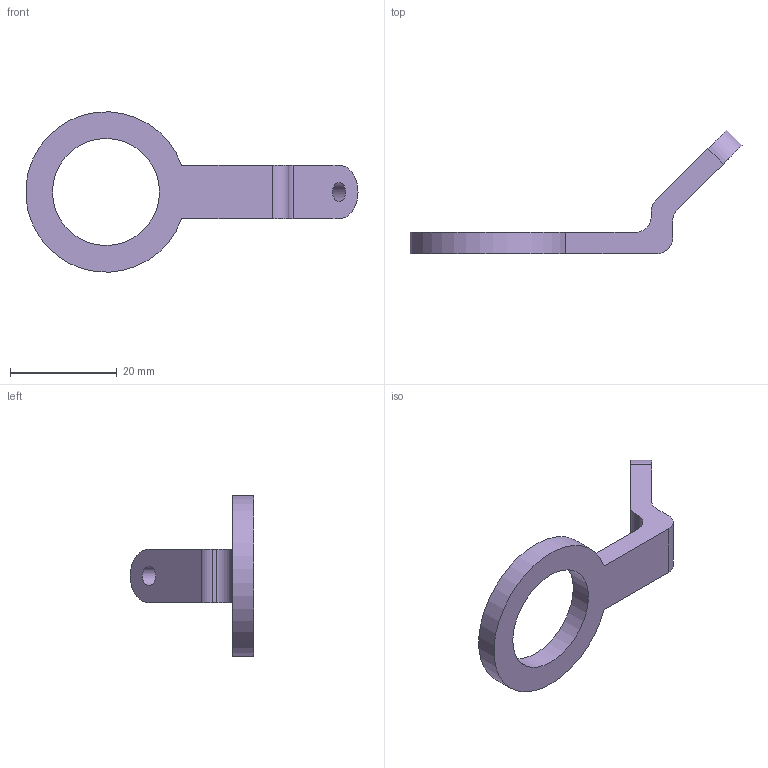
import math

import cadquery as cq

thickness = 4.0
ring_outer_radius = 15.0
ring_inner_radius = 10.0
arm_width = 10.0
straight_length = 20.0
step_height = 5.0
tip_length = 20.0
tip_angle = math.radians(45)
bend_radius = 3.0
hole_diameter = 3.5

half_width = arm_width / 2
arm_start = math.sqrt(ring_outer_radius**2 - half_width**2)
step_front_x = arm_start + straight_length
step_back_x = step_front_x - thickness
back_corner_y = thickness + step_height
front_corner_y = back_corner_y - thickness * math.tan(tip_angle / 2)

along_x = math.cos(tip_angle)
along_y = math.sin(tip_angle)
tip_back = (step_back_x + tip_length * along_x, back_corner_y + tip_length * along_y)
tip_front = (tip_back[0] + thickness * along_y, tip_back[1] - thickness * along_x)


def make_ring():
    """Full ring disc, before boring."""
    return cq.Workplane("XZ").circle(ring_outer_radius).extrude(-thickness)


def cut_bore(body):
    """Open the ring through its thickness."""
    bore = cq.Workplane("XZ").circle(ring_inner_radius).extrude(-thickness)
    return body.cut(bore)


def make_arm():
    """Bent strip from the ring centre to the sloped tip, with all bends rounded."""
    outline = [
        (0, 0),
        (step_front_x, 0),
        (step_front_x, front_corner_y),
        tip_front,
        tip_back,
        (step_back_x, back_corner_y),
        (step_back_x, thickness),
        (0, thickness),
    ]
    bend_corners = [outline[1], outline[2], outline[5], outline[6]]
    strip = cq.Workplane("XY").polyline(outline).close().extrude(half_width, both=True)
    for x, y in bend_corners:
        strip = strip.edges(cq.selectors.NearestToPointSelector((x, y, 0))).fillet(bend_radius)
    return strip


def round_tip(arm):
    """Round the tip to the full arm width and drill the concentric hole."""
    tip_plane = cq.Plane(
        origin=(tip_back[0], tip_back[1], 0),
        xDir=(along_x, along_y, 0),
        normal=(-along_y, along_x, 0),
    )
    face = cq.Workplane(tip_plane)
    end_block = face.center(-half_width / 2, 0).rect(half_width, arm_width).extrude(-thickness)
    end_disc = face.center(-half_width, 0).circle(half_width).extrude(-thickness)
    hole = face.center(-half_width, 0).circle(hole_diameter / 2).extrude(-thickness)
    corners = end_block.cut(end_disc)
    return arm.cut(corners).cut(hole)


arm = round_tip(make_arm())
result = cut_bore(make_ring().union(arm))